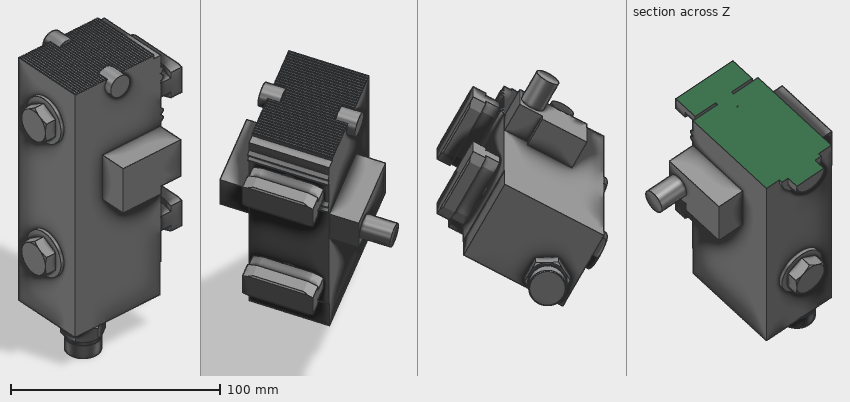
import cadquery as cq
import math


body_width = 41.0
body_depth = 54.5
body_height = 142.0
back_step_height = 140.0
back_relief_height = 19.3
back_relief_depth = 0.3

groove_count = 33
groove_pitch = 1.5
groove_crest = 0.5
groove_depth = (groove_pitch - groove_crest) / 2
serrated_depth = groove_count * groove_pitch + groove_crest

bolt_z = 117.1
bolt_spacing = 78.0
washer_diameter = 25.0
washer_thickness = 2.0
bolt_head_flats = 17.2
bolt_head_height = 6.5
stud_diameter = 10.0
stud_gap = 1.1
nut_length = 36.0
nut_neck_height = 11.5
nut_neck_depth = 7.5
nut_head_height = 18.0
nut_head_depth = 7.0
nut_edge_chamfer = 0.8
nut_end_run = 5.0
nut_end_drop = 1.6

ridge_height = 1.8
ridge_crest = 0.6
ridge_pitch = 2 * ridge_height + ridge_crest
ridges_per_group = 2
ridge_group_offset = 12.0

pin_diameter = 12.0
top_pin_y = 25.0
top_pin_rise = 1.6
top_pin_inner_x = 14.1
top_pin_outer_x = 24.8
bar_pin_length = 15.5
bar_pin_y = 47.3
bar_pin_z = 86.7

bar_length = 71.0
bar_front_y = 17.5
bar_back_y = body_depth - back_relief_depth
bar_bottom_z = 72.7
bar_height = 25.9
bar_notch_depth = 12.3
bar_notch_height = 4.5

fitting_x = 10.4
fitting_y = 14.0
fitting_flats = 19.0
fitting_hex_height = 8.1
fitting_neck_diameter = 17.2
fitting_neck_height = 2.5
fitting_end_diameter = 18.0
fitting_length = 18.3
fitting_end_chamfer = 0.5

hex_chamfer_slope = math.tan(math.radians(30))


def x_cylinder(diameter, x_start, x_end, y, z):
    plane = cq.Workplane("YZ", origin=(x_start, 0, 0))
    return plane.center(y, z).circle(diameter / 2).extrude(x_end - x_start)


def y_cylinder(diameter, y_start, y_end, z):
    plane = cq.Workplane("XZ", origin=(0, y_start, 0))
    return plane.center(0, z).circle(diameter / 2).extrude(y_start - y_end)


def hexagon(flats, height):
    """Upright hexagonal prism with corners on the X axis."""
    return cq.Workplane("XY").polygon(6, flats / math.cos(math.pi / 6)).extrude(height)


def bevelled_blank(flats, height, chamfer_bottom):
    """Turned blank whose ends bevel the corners of a hexagon of the same height."""
    flat_radius = flats / 2
    corner_radius = flat_radius / math.cos(math.pi / 6)
    bevel = (corner_radius - flat_radius) * hex_chamfer_slope
    bottom_radius = flat_radius if chamfer_bottom else corner_radius
    profile = [
        (0, 0),
        (bottom_radius, 0),
        (corner_radius, bevel),
        (corner_radius, height - bevel),
        (flat_radius, height),
        (0, height),
    ]
    return cq.Workplane("XZ").polyline(profile).close().revolve(360, (0, 0, 0), (0, 1, 0))


def make_body():
    """Side profile of the block with its serrated top, extruded across the width."""
    profile = [(0, 0), (0, body_height)]
    for groove in range(groove_count):
        groove_start = groove * groove_pitch + groove_crest
        profile.append((groove_start, body_height))
        profile.append((groove_start + groove_depth, body_height - groove_depth))
        profile.append((groove_start + 2 * groove_depth, body_height))
    profile += [
        (serrated_depth, body_height),
        (serrated_depth, back_step_height),
        (body_depth, back_step_height),
        (body_depth, back_relief_height),
        (body_depth - back_relief_depth, back_relief_height),
        (body_depth - back_relief_depth, 0),
    ]
    return cq.Workplane("YZ").polyline(profile).close().extrude(body_width / 2, both=True)


def make_ridges(center_z):
    """Group of flat-crested 90 degree ridges, rooted inside the block."""
    root_y = body_depth - ridge_height
    base_z = center_z - ridges_per_group * ridge_pitch / 2
    profile = [(root_y, base_z), (body_depth, base_z)]
    for ridge in range(ridges_per_group):
        crest_z = base_z + ridge * ridge_pitch + ridge_height
        profile.append((body_depth + ridge_height, crest_z))
        profile.append((body_depth + ridge_height, crest_z + ridge_crest))
        profile.append((body_depth, crest_z + ridge_crest + ridge_height))
    profile.append((root_y, base_z + ridges_per_group * ridge_pitch))
    return cq.Workplane("YZ").polyline(profile).close().extrude(body_width / 2, both=True)


def make_bolt(z):
    washer = y_cylinder(washer_diameter, 0, -washer_thickness, z)
    head = hexagon(bolt_head_flats, bolt_head_height)
    head = head.intersect(bevelled_blank(bolt_head_flats, bolt_head_height, False))
    head = head.rotate((0, 0, 0), (0, 0, 1), 90).rotate((0, 0, 0), (1, 0, 0), 90)
    return washer.union(head.translate((0, -washer_thickness, z)))


def nut_bar(height, depth):
    """Bar along X whose top and bottom slope down towards both ends."""
    half_length = nut_length / 2
    end_height = height / 2 - nut_end_drop
    quarter = [(half_length, end_height), (half_length - nut_end_run, height / 2)]
    upper = quarter + [(-x, z) for x, z in reversed(quarter)]
    outline = upper + [(-x, -z) for x, z in upper]
    return cq.Workplane("XZ").polyline(outline).close().extrude(-depth)


def make_t_nut(z):
    neck_y = body_depth + stud_gap
    head_y = neck_y + nut_neck_depth
    stud = y_cylinder(stud_diameter, body_depth - stud_gap, neck_y, z)
    neck = nut_bar(nut_neck_height, nut_neck_depth).translate((0, neck_y, z))
    head_block = cq.Workplane("YZ").rect(2 * nut_head_depth, nut_head_height)
    head_block = head_block.extrude(nut_length / 2, both=True)
    head_block = head_block.edges("|X and >Y").chamfer(nut_edge_chamfer)
    head = nut_bar(nut_head_height, nut_head_depth).intersect(head_block)
    return stud.union(neck).union(head.translate((0, head_y, z)))


def make_cross_bar():
    bar_top_z = bar_bottom_z + bar_height
    notch_y = bar_back_y - bar_notch_depth
    notch_z = bar_bottom_z + bar_notch_height
    profile = [
        (bar_front_y, bar_bottom_z),
        (notch_y, bar_bottom_z),
        (notch_y, notch_z),
        (bar_back_y, notch_z),
        (bar_back_y, bar_top_z),
        (bar_front_y, bar_top_z),
    ]
    bar = cq.Workplane("YZ").polyline(profile).close().extrude(bar_length / 2, both=True)
    pin_tip_x = -bar_length / 2 - bar_pin_length
    return bar.union(x_cylinder(pin_diameter, pin_tip_x, 0, bar_pin_y, bar_pin_z))


def make_fitting():
    """Hexagon, necked-down collar and round end, hanging from Z = 0."""
    nut = hexagon(fitting_flats, fitting_hex_height)
    nut = nut.intersect(bevelled_blank(fitting_flats, fitting_hex_height, True))
    nut = nut.translate((0, 0, -fitting_hex_height))
    neck_bottom = -fitting_hex_height - fitting_neck_height
    end_length = fitting_length + neck_bottom
    neck = cq.Workplane("XY", origin=(0, 0, neck_bottom))
    neck = neck.circle(fitting_neck_diameter / 2).extrude(fitting_neck_height)
    end = cq.Workplane("XY", origin=(0, 0, -fitting_length))
    end = end.circle(fitting_end_diameter / 2).extrude(end_length)
    end = end.faces("<Z").chamfer(fitting_end_chamfer)
    return nut.union(neck).union(end).translate((fitting_x, fitting_y, 0))


result = make_body().union(make_cross_bar()).union(make_fitting())

for group_side in (-1, 1):
    result = result.union(make_ridges(bolt_z + group_side * ridge_group_offset))

for fixing_z in (bolt_z, bolt_z - bolt_spacing):
    result = result.union(make_bolt(fixing_z)).union(make_t_nut(fixing_z))

top_pin_z = body_height + top_pin_rise - pin_diameter / 2
for inner_x, outer_x in ((-top_pin_inner_x, -top_pin_outer_x), (top_pin_inner_x, top_pin_outer_x)):
    result = result.union(x_cylinder(pin_diameter, inner_x, outer_x, top_pin_y, top_pin_z))